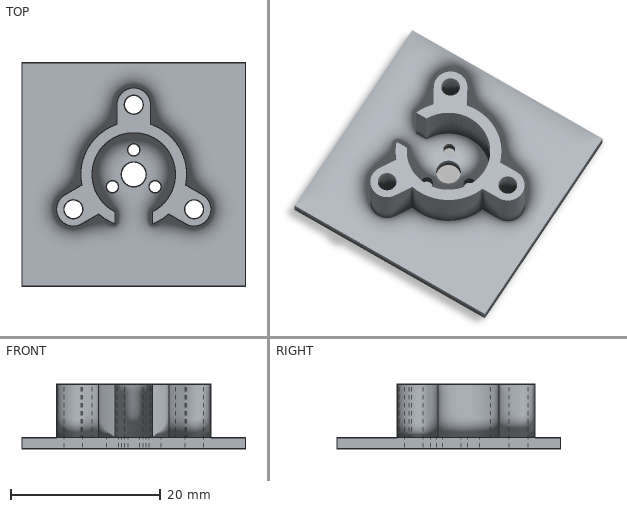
import cadquery as cq
import math

plate_side = 30.0
plate_thickness = 1.5

total_height = 8.7
ring_outer_diameter = 14.2
ring_inner_diameter = 11.2
gap_width = 5.0

lug_count = 3
lug_width = 4.5
lug_hole_diameter = 2.5
lug_circle_radius = 9.35

center_hole_diameter = 3.3
small_hole_diameter = 1.6
small_hole_circle_radius = 3.3

first_angle = 90.0
wall_height = total_height - plate_thickness
lug_angles = [first_angle + i * 360.0 / lug_count for i in range(lug_count)]


def points_on_circle(radius):
    """Points at the lug directions, at the given radius from the Z axis."""
    return [
        (radius * math.cos(math.radians(a)), radius * math.sin(math.radians(a)))
        for a in lug_angles
    ]


def make_plate():
    """Square base plate."""
    return cq.Workplane("XY").box(
        plate_side, plate_side, plate_thickness, centered=(True, True, False)
    )


def make_lug(angle):
    """Arm reaching out from the Z axis and rounded around its screw hole."""
    base = cq.Workplane("XY", origin=(0, 0, plate_thickness))
    arm = base.center(lug_circle_radius / 2, 0).rect(lug_circle_radius, lug_width).extrude(wall_height)
    tip = base.center(lug_circle_radius, 0).circle(lug_width / 2).extrude(wall_height)
    return arm.union(tip).rotate((0, 0, 0), (0, 0, 1), angle)


def make_wall():
    """Ring with lugs, bored out and opened by a gap on the -Y side."""
    base = cq.Workplane("XY", origin=(0, 0, plate_thickness))
    wall = base.circle(ring_outer_diameter / 2).extrude(wall_height)
    for angle in lug_angles:
        wall = wall.union(make_lug(angle))
    bore = base.circle(ring_inner_diameter / 2).extrude(wall_height)
    gap_length = ring_outer_diameter / 2
    gap = base.center(0, -gap_length / 2).rect(gap_width, gap_length).extrude(wall_height)
    return wall.cut(bore).cut(gap)


def make_through_holes(points, diameter):
    """Vertical cutters through the full height of the part."""
    return cq.Workplane("XY").pushPoints(points).circle(diameter / 2).extrude(total_height)


result = (
    make_plate()
    .union(make_wall())
    .cut(make_through_holes(points_on_circle(lug_circle_radius), lug_hole_diameter))
    .cut(make_through_holes(points_on_circle(small_hole_circle_radius), small_hole_diameter))
    .cut(make_through_holes([(0, 0)], center_hole_diameter))
)